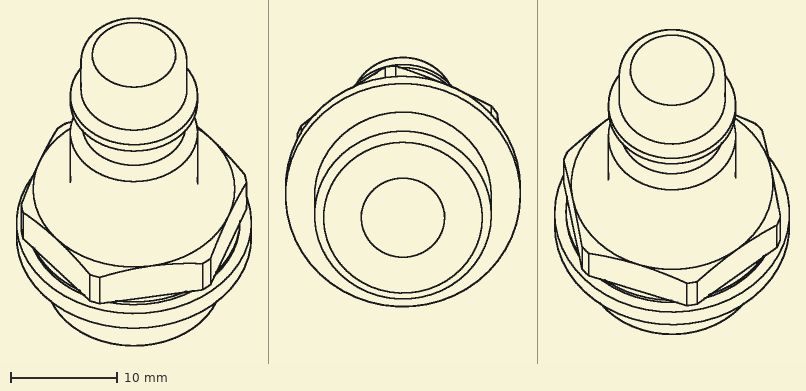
import cadquery as cq
import math

TOTAL_HEIGHT = 34.0
BORE_DIAMETER = 7.85

SPIGOT_DIAMETER = 16.66
SPIGOT_TOP = 6.55
SPIGOT_CHAMFER_WIDTH = 0.85
SPIGOT_CHAMFER_HEIGHT = 0.8
UNDERCUT_DIAMETER = 14.1

FLANGE_DIAMETER = 22.15
FLANGE_BOTTOM = 6.8
FLANGE_TOP = 9.0
RING_DIAMETER = 20.0

HEX_ACROSS_FLATS = 19.0
HEX_CORNER_DIAMETER = 21.4
HEX_BOTTOM = 9.4
HEX_TOP = 14.0
HEX_CHAMFER_ANGLE = 30.0

BODY_DIAMETER = 12.0
BODY_ROOT_RADIUS = 0.75
BODY_TOP = 22.45
NECK_DIAMETER = 9.75
NECK_BOTTOM = 23.5
NECK_TOP = 25.9
GROOVE_SIDE_RADIUS = 2.75
COLLAR_BOTTOM = 27.0
COLLAR_TOP = 27.95
TIP_DIAMETER = 10.0
TIP_BOTTOM = 28.9
TIP_RADIUS = 1.0


def cylinder(diameter, bottom, top):
    """Upright cylinder about the Z axis between two heights."""
    return cq.Workplane("XY").workplane(offset=bottom).circle(diameter / 2).extrude(top - bottom)


def make_base():
    """Chamfered spigot, undercut, flange and raised ring."""
    spigot_radius = SPIGOT_DIAMETER / 2
    spigot = (
        cq.Workplane("XZ")
        .lineTo(spigot_radius - SPIGOT_CHAMFER_WIDTH, 0)
        .lineTo(spigot_radius, SPIGOT_CHAMFER_HEIGHT)
        .lineTo(spigot_radius, SPIGOT_TOP)
        .lineTo(0, SPIGOT_TOP)
        .close()
        .revolve(360, (0, 0, 0), (0, 1, 0))
    )
    undercut = cylinder(UNDERCUT_DIAMETER, SPIGOT_TOP, FLANGE_BOTTOM)
    flange = cylinder(FLANGE_DIAMETER, FLANGE_BOTTOM, FLANGE_TOP)
    ring = cylinder(RING_DIAMETER, FLANGE_TOP, HEX_BOTTOM)
    return spigot.union(undercut).union(flange).union(ring)


def make_hexagon():
    """Hexagon with flats facing +X and -X, turned corners and a conical top chamfer."""
    across_corners = HEX_ACROSS_FLATS / math.cos(math.pi / 6)
    prism = (
        cq.Workplane("XY")
        .workplane(offset=HEX_BOTTOM)
        .transformed(rotate=(0, 0, 90))
        .polygon(6, across_corners)
        .extrude(HEX_TOP - HEX_BOTTOM)
    )
    flat_radius = HEX_ACROSS_FLATS / 2
    corner_radius = HEX_CORNER_DIAMETER / 2
    chamfer_drop = (corner_radius - flat_radius) * math.tan(math.radians(HEX_CHAMFER_ANGLE))
    turned_blank = (
        cq.Workplane("XZ")
        .moveTo(0, HEX_BOTTOM)
        .lineTo(corner_radius, HEX_BOTTOM)
        .lineTo(corner_radius, HEX_TOP - chamfer_drop)
        .lineTo(flat_radius, HEX_TOP)
        .lineTo(0, HEX_TOP)
        .close()
        .revolve(360, (0, 0, 0), (0, 1, 0))
    )
    return prism.intersect(turned_blank)


def make_nipple():
    """Turned plug profile: filleted root, body, groove with hollow sides, collar and rounded tip."""
    body_radius = BODY_DIAMETER / 2
    neck_radius = NECK_DIAMETER / 2
    tip_radius = TIP_DIAMETER / 2
    arc_inset = 1 - math.sqrt(0.5)
    root_mid = BODY_ROOT_RADIUS * arc_inset
    tip_mid = TIP_RADIUS * arc_inset
    return (
        cq.Workplane("XZ")
        .moveTo(0, HEX_TOP)
        .lineTo(body_radius + BODY_ROOT_RADIUS, HEX_TOP)
        .threePointArc(
            (body_radius + root_mid, HEX_TOP + root_mid),
            (body_radius, HEX_TOP + BODY_ROOT_RADIUS),
        )
        .lineTo(body_radius, BODY_TOP)
        .radiusArc((neck_radius, NECK_BOTTOM), GROOVE_SIDE_RADIUS)
        .lineTo(neck_radius, NECK_TOP)
        .radiusArc((body_radius, COLLAR_BOTTOM), GROOVE_SIDE_RADIUS)
        .lineTo(body_radius, COLLAR_TOP)
        .lineTo(tip_radius, TIP_BOTTOM)
        .lineTo(tip_radius, TOTAL_HEIGHT - TIP_RADIUS)
        .threePointArc(
            (tip_radius - tip_mid, TOTAL_HEIGHT - tip_mid),
            (tip_radius - TIP_RADIUS, TOTAL_HEIGHT),
        )
        .lineTo(0, TOTAL_HEIGHT)
        .close()
        .revolve(360, (0, 0, 0), (0, 1, 0))
    )


bore = cylinder(BORE_DIAMETER, 0, TOTAL_HEIGHT)
result = make_base().union(make_hexagon()).union(make_nipple()).cut(bore)